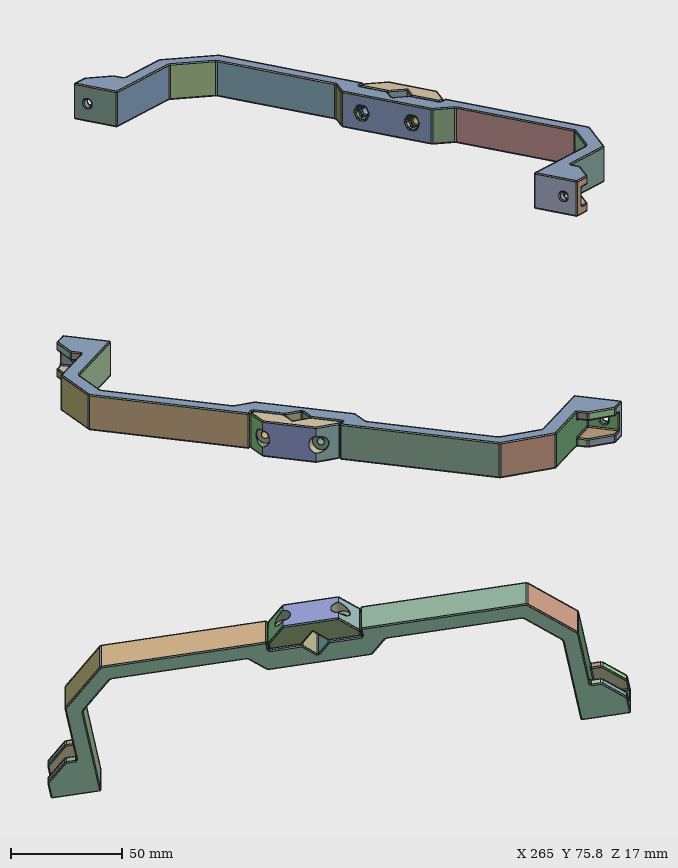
import cadquery as cq
import math

length = 265.0
width = 17.0
cap_top = 75.8
edge_chamfer = 0.5

bar_top = 68.5
bar_thickness = 7.7
leg_outer = 117.5
bend = 20.0

foot_height = 18.8
foot_bevel = 9.8
foot_slot_width = 8.7
foot_slot_floor = 4.0
foot_hole_diameter = 4.0
foot_hole_inset = 7.2

boss_bottom = 53.0
boss_half_length = 23.8
recess_half_length = 21.5
recess_floor = 63.5
cap_half_length = 21.0
cap_bottom = 64.5
cap_top_half_length = 12.7
notch_half_width = 6.0

screw_spacing = 26.5
screw_hole_diameter = 3.5
head_diameter = 8.0
head_depth = 5.3
nut_width = 6.4
nut_depth = 3.2

half_length = length / 2
bar_bottom = bar_top - bar_thickness
leg_inner = leg_outer - bar_thickness
inner_bend = bend - (2 - math.sqrt(2)) * bar_thickness
screw_positions = (-screw_spacing / 2, screw_spacing / 2)


def mirrored_prism(half_outline):
    """Extrude the outline made of the given +X half and its mirror image, centred on Z = 0."""
    other_half = [(-x, y) for x, y in reversed(half_outline) if x > 0]
    return cq.Workplane("XY").polyline(half_outline + other_half).close().extrude(width / 2, both=True)


def along_y(sketch, start, end):
    """Extrude a sketch function's outline along +Y from start to end."""
    plane = cq.Workplane("XZ", origin=(0, start, 0))
    return sketch(plane).extrude(start - end)


def round_cutter(x, diameter, start, end):
    return along_y(lambda plane: plane.center(x, 0).circle(diameter / 2), start, end)


def make_handle():
    bar_outline = [
        (0, recess_floor - notch_half_width),
        (notch_half_width, recess_floor),
        (recess_half_length, recess_floor),
        (recess_half_length, bar_top),
        (leg_outer - bend, bar_top),
        (leg_outer, bar_top - bend),
        (leg_outer, foot_height),
        (half_length - foot_bevel, foot_height),
        (half_length, foot_height - foot_bevel),
        (half_length, 0),
        (leg_inner, 0),
        (leg_inner, bar_bottom - inner_bend),
        (leg_inner - inner_bend, bar_bottom),
        (boss_half_length + bar_bottom - boss_bottom, bar_bottom),
        (boss_half_length, boss_bottom),
    ]
    handle = mirrored_prism(bar_outline)

    nut_corner_diameter = nut_width / math.cos(math.pi / 6)
    for x in screw_positions:
        handle = handle.cut(round_cutter(x, screw_hole_diameter, boss_bottom, bar_top))
        handle = handle.cut(
            along_y(
                lambda plane: plane.center(x, 0).polygon(6, nut_corner_diameter),
                boss_bottom,
                boss_bottom + nut_depth,
            )
        )

    slot_length = half_length - leg_outer
    for side in (-1, 1):
        slot_centre = side * (leg_outer + slot_length / 2)
        slot = along_y(
            lambda plane: plane.center(slot_centre, 0).rect(slot_length, foot_slot_width),
            foot_slot_floor,
            foot_height,
        )
        hole = round_cutter(side * (half_length - foot_hole_inset), foot_hole_diameter, 0, foot_height)
        handle = handle.cut(slot).cut(hole)
    return handle.edges().chamfer(edge_chamfer)


def make_cap():
    cap_outline = [
        (0, cap_bottom + notch_half_width),
        (notch_half_width, cap_bottom),
        (cap_half_length, cap_bottom),
        (cap_half_length, cap_top + cap_top_half_length - cap_half_length),
        (cap_top_half_length, cap_top),
    ]
    cap = mirrored_prism(cap_outline).faces("|Z").edges().chamfer(edge_chamfer)

    for x in screw_positions:
        cap = cap.cut(round_cutter(x, screw_hole_diameter, cap_bottom, cap_top))
        cap = cap.cut(round_cutter(x, head_diameter, cap_top - head_depth, cap_top))
    return cap


handle = make_handle()
cap = make_cap()
result = cq.Compound.makeCompound([handle.val(), cap.val()])